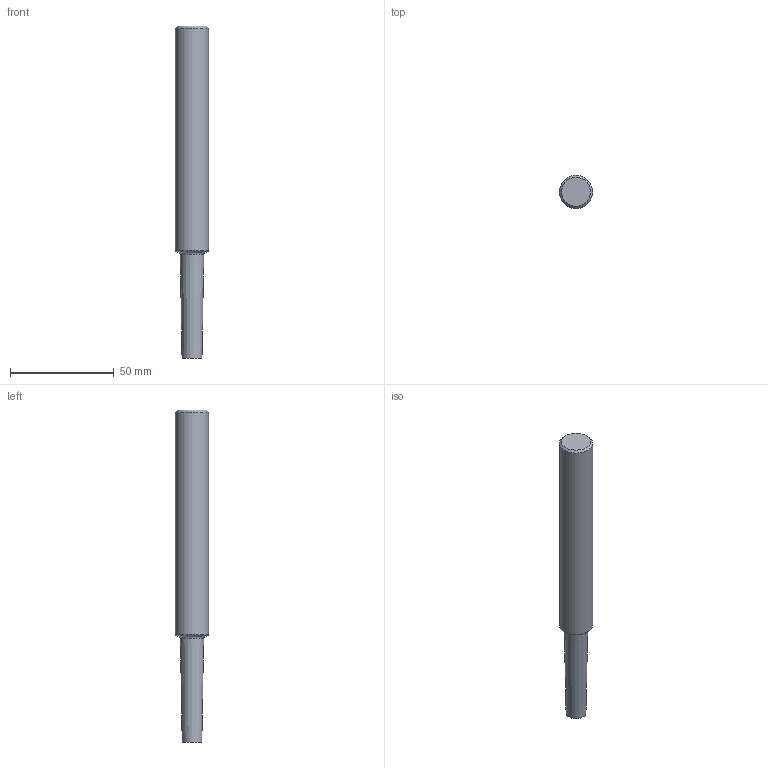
import cadquery as cq
import math

total_length = 160.0
shank_diameter = 15.99
top_chamfer = 1.0

neck_length = 50.0
neck_end_diameter = 9.6
neck_half_angle = 1.0

shoulder_round = 0.78
shoulder_slope = math.radians(22.0)

shank_radius = shank_diameter / 2
neck_end_radius = neck_end_diameter / 2
neck_root_radius = neck_end_radius + neck_length * math.tan(math.radians(neck_half_angle))

round_angle = math.pi / 2 - shoulder_slope
round_reach = shoulder_round * (1 - math.cos(round_angle))
round_rise = shoulder_round * math.sin(round_angle)

cone_reach = shank_radius - neck_root_radius - 2 * round_reach
cone_rise = cone_reach * math.tan(shoulder_slope)
shank_start = neck_length + 2 * round_rise + cone_rise


def neck_round_point(angle):
    """Point on the concave round, turned by angle from its lower end at the neck."""
    return (
        neck_root_radius + shoulder_round * (1 - math.cos(angle)),
        neck_length + shoulder_round * math.sin(angle),
    )


def shank_round_point(angle):
    """Point on the convex round, turned by angle from its upper end at the shank."""
    return (
        shank_radius - shoulder_round * (1 - math.cos(angle)),
        shank_start - shoulder_round * math.sin(angle),
    )


def half_profile():
    """Half section of the turned part, with radius along X and height along Z."""
    return (
        cq.Workplane("XZ")
        .lineTo(neck_end_radius, 0)
        .lineTo(neck_root_radius, neck_length)
        .threePointArc(neck_round_point(round_angle / 2), neck_round_point(round_angle))
        .lineTo(*shank_round_point(round_angle))
        .threePointArc(shank_round_point(round_angle / 2), (shank_radius, shank_start))
        .lineTo(shank_radius, total_length - top_chamfer)
        .lineTo(shank_radius - top_chamfer, total_length)
        .lineTo(0, total_length)
        .close()
    )


axis_start = (0, 0, 0)
axis_end = (0, 1, 0)
result = half_profile().revolve(360, axis_start, axis_end)